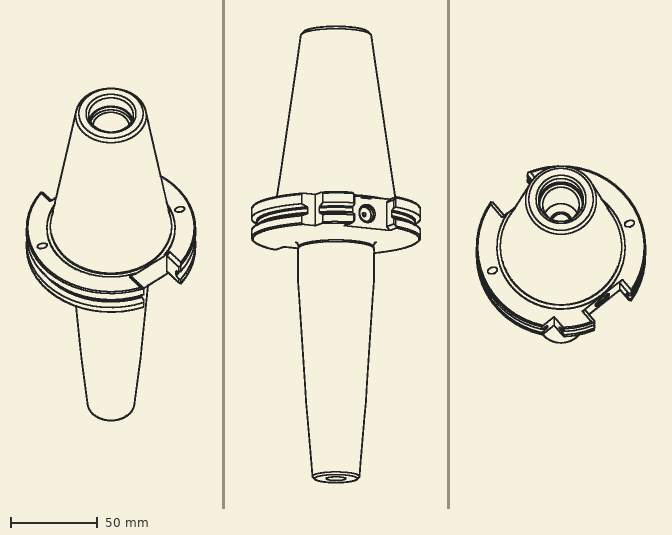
import cadquery as cq
import math


taper_slope = 7 / 24 / 2
total_length = 261.5
taper_length = 101.8
gauge_diameter = 69.8
gauge_radius = gauge_diameter / 2
taper_small_radius = gauge_radius - taper_length * taper_slope
taper_chamfer_width = 1.5
taper_chamfer_height = 1.8

relief_inner_radius = 34.3
relief_outer_radius = 37.0
relief_depth = 0.8

flange_radius = 48.7
flange_top = -1.0
flange_bottom = -19.4
flange_chamfer = 0.8
groove_root_diameter = 90.8
groove_root_radius = groove_root_diameter / 2
groove_bevel_radius = 45.8
groove_root_width = 2.4
groove_bevel_width = 4.0
groove_mouth_width = 7.0
upper_land = 6.3
groove_center = flange_top - upper_land - groove_mouth_width / 2

neck_radius = 22.0
neck_fillet = 4.7
neck_step = 0.4
neck_step_height = 1.0
neck_bottom = -43.7
nose_top = -115.4
nose_top_radius = 17.3
nose_tip_radius = 13.5
nose_chamfer = 1.3
nose_bottom = taper_length - total_length

mouth_radius = 14.5
mouth_depth = 1.3
counterbore_radius = 12.8
counterbore_depth = 9.0
step_radius = 12.3
step_depth = 11.5
stud_radius = 10.5
stud_depth = 47.0
stud_cone_radius = 6.5
coolant_bore_radius = 5.5

slot_half_width = 12.8
slot_floor_left = 37.5
slot_floor_right = 35.3
slot_face_chamfer = 2.0
slot_rim_chamfer = 0.92
slot_rim_chamfer_depth = 0.8

notch_offset = 29.5

chip_radius = 4.5
chip_depth = 3.5
chip_chamfer = 0.8
chip_center_radius = 1.0
chip_center_depth = 2.5

channel_radius = 1.8
channel_pitch_radius = 41.9
channel_angle = 70.0
channel_tilt = 50.0
channel_overrun = 2.5


def revolve_about_z(outline):
    return outline.close().revolve(360, (0, 0, 0), (0, 1, 0))


def outer_body():
    fillet_end_radius = neck_radius - neck_step
    fillet_end = flange_bottom - neck_fillet
    fillet_sag = neck_fillet * (1 - math.sqrt(0.5))
    chamfer_start_radius = taper_small_radius + taper_chamfer_height * taper_slope
    outline = (
        cq.Workplane("XZ")
        .moveTo(0, taper_length)
        .lineTo(taper_small_radius - taper_chamfer_width, taper_length)
        .lineTo(chamfer_start_radius, taper_length - taper_chamfer_height)
        .lineTo(gauge_radius, 0)
        .lineTo(relief_inner_radius, flange_top)
        .lineTo(relief_inner_radius, flange_top - relief_depth)
        .lineTo(relief_outer_radius, flange_top - relief_depth)
        .lineTo(relief_outer_radius, flange_top)
        .lineTo(flange_radius - flange_chamfer, flange_top)
        .lineTo(flange_radius, flange_top - flange_chamfer)
        .lineTo(flange_radius, groove_center + groove_mouth_width / 2)
        .lineTo(groove_bevel_radius, groove_center + groove_bevel_width / 2)
        .lineTo(groove_root_radius, groove_center + groove_root_width / 2)
        .lineTo(groove_root_radius, groove_center - groove_root_width / 2)
        .lineTo(groove_bevel_radius, groove_center - groove_bevel_width / 2)
        .lineTo(flange_radius, groove_center - groove_mouth_width / 2)
        .lineTo(flange_radius, flange_bottom + flange_chamfer)
        .lineTo(flange_radius - flange_chamfer, flange_bottom)
        .lineTo(fillet_end_radius + neck_fillet, flange_bottom)
        .threePointArc(
            (fillet_end_radius + fillet_sag, flange_bottom - fillet_sag),
            (fillet_end_radius, fillet_end),
        )
        .lineTo(neck_radius, fillet_end - neck_step_height)
        .lineTo(neck_radius, neck_bottom)
        .lineTo(nose_top_radius, nose_top)
        .lineTo(nose_tip_radius, nose_bottom + nose_chamfer)
        .lineTo(nose_tip_radius - nose_chamfer, nose_bottom)
        .lineTo(0, nose_bottom)
    )
    return revolve_about_z(outline)


def central_bore():
    cone_depth = stud_radius - stud_cone_radius
    outline = (
        cq.Workplane("XZ")
        .moveTo(0, taper_length)
        .lineTo(mouth_radius, taper_length)
        .lineTo(counterbore_radius, taper_length - mouth_depth)
        .lineTo(counterbore_radius, taper_length - counterbore_depth)
        .lineTo(step_radius, taper_length - counterbore_depth)
        .lineTo(step_radius, taper_length - step_depth)
        .lineTo(stud_radius, taper_length - step_depth)
        .lineTo(stud_radius, taper_length - stud_depth)
        .lineTo(stud_cone_radius, taper_length - stud_depth - cone_depth)
        .lineTo(coolant_bore_radius, taper_length - stud_depth - cone_depth)
        .lineTo(coolant_bore_radius, nose_bottom)
        .lineTo(0, nose_bottom)
    )
    return revolve_about_z(outline)


def driving_slot(side, floor):
    """Slot open towards side * X, flared at both flange faces and at the rim."""
    flared_half_width = slot_half_width + slot_face_chamfer
    section = (
        cq.Workplane("YZ")
        .moveTo(-flared_half_width, flange_top)
        .lineTo(-slot_half_width, flange_top - slot_face_chamfer)
        .lineTo(-slot_half_width, flange_bottom + slot_face_chamfer)
        .lineTo(-flared_half_width, flange_bottom)
        .lineTo(flared_half_width, flange_bottom)
        .lineTo(slot_half_width, flange_bottom + slot_face_chamfer)
        .lineTo(slot_half_width, flange_top - slot_face_chamfer)
        .lineTo(flared_half_width, flange_top)
        .close()
        .extrude(side * flange_radius)
    )
    rim_half_width = slot_half_width + slot_rim_chamfer
    rim_x = math.sqrt(flange_radius**2 - rim_half_width**2)
    flare_start = rim_x - slot_rim_chamfer_depth
    rim_flare = (
        cq.Workplane("XY", origin=(0, 0, flange_bottom))
        .moveTo(side * flare_start, -slot_half_width)
        .lineTo(side * rim_x, -rim_half_width)
        .lineTo(side * flange_radius, -rim_half_width)
        .lineTo(side * flange_radius, rim_half_width)
        .lineTo(side * rim_x, rim_half_width)
        .lineTo(side * flare_start, slot_half_width)
        .close()
        .extrude(flange_top - flange_bottom)
    )
    inside_floor = cq.Workplane("XY").box(2 * floor, 2 * flange_radius, 2 * flange_radius)
    return section.union(rim_flare).cut(inside_floor)


def orientation_notch():
    block = cq.Workplane("XY").box(
        flange_radius, flange_radius, flange_top - flange_bottom, centered=False
    )
    return block.translate((-notch_offset - flange_radius, notch_offset, flange_bottom))


def chip_pocket():
    floor = cq.Workplane("YZ", origin=(-slot_floor_left, 0, groove_center))
    mouth = floor.circle(chip_radius + chip_chamfer).extrude(chip_chamfer, taper=45)
    pocket = floor.circle(chip_radius).extrude(chip_depth).union(mouth)
    center_hole = floor.circle(chip_center_radius).extrude(chip_depth + chip_center_depth)
    return pocket.union(center_hole)


def coolant_channel(angle):
    tilt = math.radians(channel_tilt)
    inward = cq.Vector(-math.sin(tilt), 0, -math.cos(tilt))
    entry = cq.Vector(channel_pitch_radius, 0, flange_top)
    length = channel_pitch_radius / math.sin(tilt)
    channel = cq.Solid.makeCylinder(
        channel_radius, length + channel_overrun, entry - inward * channel_overrun, inward
    )
    return cq.Workplane(channel.rotate(cq.Vector(), cq.Vector(0, 0, 1), angle))


result = outer_body().cut(central_bore())
result = result.cut(driving_slot(-1, slot_floor_left))
result = result.cut(driving_slot(1, slot_floor_right))
result = result.cut(orientation_notch())
result = result.cut(chip_pocket())
for half_turn in (0, 180):
    result = result.cut(coolant_channel(channel_angle + half_turn))